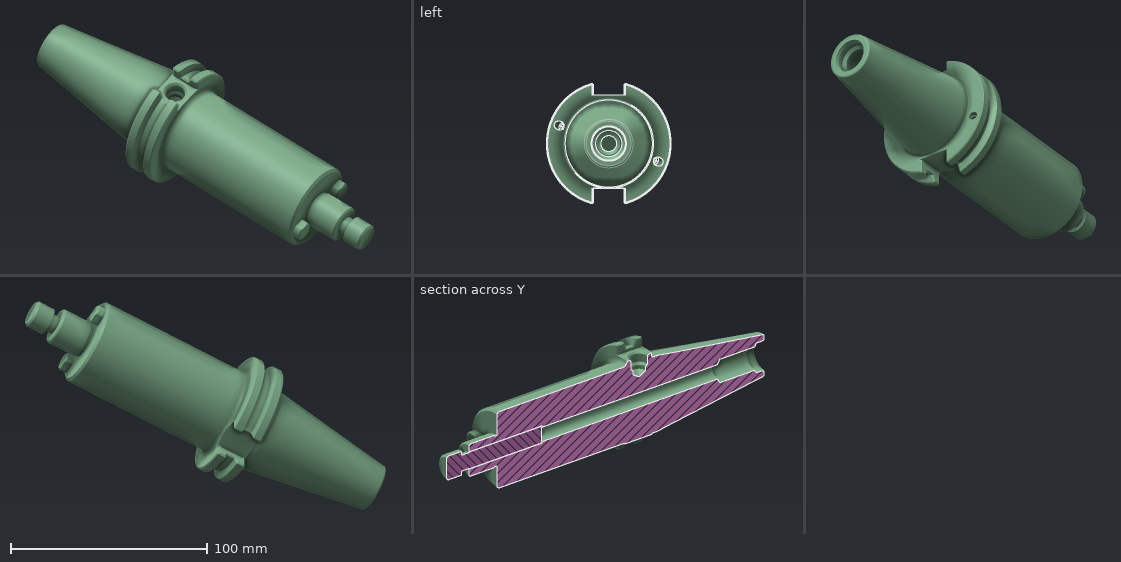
import cadquery as cq
import math

total_length = 201.8
taper_end_x = 68.5
flange_front_x = 71.5
flange_width = 16.0
body_end_x = 170.0
spigot_end_x = 187.7
screw_head_x = 192.1
flange_back_x = flange_front_x + flange_width

taper_ratio = 7 / 24
neck_diameter = 44.5
taper_small_diameter = neck_diameter - taper_end_x * taper_ratio
body_diameter = 44.6
taper_end_fillet = 1.0
body_end_chamfer = 1.2
neck_fillet = 0.6
shoulder_fillet = 2.6

flange_diameter = 63.5
flange_chamfer = 0.6
groove_floor_diameter = 56.7
groove_floor_width = 4.0
groove_mouth_width = 7.0
groove_centre_x = flange_front_x + flange_width / 2

spigot_diameter = 19.0
spigot_chamfer = 0.8
relief_diameter = 18.0
relief_width = 1.2

slot_width = 15.5
slot_chamfer = 0.8
level_tolerance = 0.02
top_slot_floor = 24.8
bottom_slot_floor = 22.8

pocket_mouth_diameter = 12.1
pocket_diameter = 10.0
pocket_depth = 5.7
pocket_drill_diameter = 7.7
pocket_drill_depth = 9.0
drill_point_angle = 118.0

bore_mouth_diameter = 18.0
bore_diameter = 17.0
bore_mouth_depth = 1.8
bore_depth = 5.0
thread_diameter = 13.3
thread_end_x = 28.3
coolant_diameter = 8.0

screw_diameter = 9.5
screw_head_diameter = 14.1
screw_head_chamfer = 1.0
screw_tip_x = 141.3

stud_diameter = 9.5
stud_flats = 8.0
stud_height = 4.2
stud_chamfer = 0.6
stud_offset = 15.7

plug_diameter = 4.5
plug_circle_radius = 26.8
plug_turns = (20.0, 200.0)
plug_tilt = 30.0
plug_hole_depth = 8.0
plug_recess = 4.0
plug_socket_size = 2.5
plug_socket_depth = 2.0


def cone_depth(diameter, end_diameter=0.0):
    """Axial length of a drill point between two diameters."""
    return (diameter - end_diameter) / 2 / math.tan(math.radians(drill_point_angle / 2))


def revolve_about_x(points):
    """Solid of revolution about the X axis from (x, radius) points that start and end on it."""
    return cq.Workplane("XY").polyline(points).close().revolve(360, (0, 0, 0), (1, 0, 0))


def make_shank():
    """Taper, neck and cylindrical body, with fillets where the flange sits between them."""
    neck_radius = neck_diameter / 2
    body_radius = body_diameter / 2
    shank = (
        cq.Workplane("XY")
        .moveTo(0, 0)
        .lineTo(0, taper_small_diameter / 2)
        .lineTo(taper_end_x, neck_radius)
        .lineTo(flange_front_x - neck_fillet, neck_radius)
        .radiusArc((flange_front_x, neck_radius + neck_fillet), -neck_fillet)
        .lineTo(flange_back_x, body_radius + shoulder_fillet)
        .radiusArc((flange_back_x + shoulder_fillet, body_radius), -shoulder_fillet)
        .lineTo(body_end_x - body_end_chamfer, body_radius)
        .lineTo(body_end_x, body_radius - body_end_chamfer)
        .lineTo(body_end_x, 0)
        .close()
        .revolve(360, (0, 0, 0), (1, 0, 0))
    )
    return shank.faces("<X").edges().fillet(taper_end_fillet)


def make_flange():
    rim = flange_diameter / 2
    groove_floor = groove_floor_diameter / 2
    return revolve_about_x(
        [
            (flange_front_x, 0),
            (flange_front_x, rim - flange_chamfer),
            (flange_front_x + flange_chamfer, rim),
            (groove_centre_x - groove_mouth_width / 2, rim),
            (groove_centre_x - groove_floor_width / 2, groove_floor),
            (groove_centre_x + groove_floor_width / 2, groove_floor),
            (groove_centre_x + groove_mouth_width / 2, rim),
            (flange_back_x - flange_chamfer, rim),
            (flange_back_x, rim - flange_chamfer),
            (flange_back_x, 0),
        ]
    )


def cut_slots(shape):
    """Cut the top and the bottom driving slot, with length to clear the fillets beside the flange."""
    length = flange_width + 2 * shoulder_fillet
    for floor, turn in ((top_slot_floor, 0), (bottom_slot_floor, 180)):
        slot = (
            cq.Workplane("XY", origin=(groove_centre_x, 0, floor))
            .rect(length, slot_width)
            .extrude(flange_diameter / 2 - floor)
        )
        shape = shape.cut(slot.rotate((0, 0, 0), (1, 0, 0), turn))
    return shape


def bevel_slot_walls(flange):
    """Chamfer the wall edges of both slots, except where the walls meet the slot floors."""
    wall_edges = []
    for wall in flange.faces("|Y").vals():
        for edge in wall.Edges():
            level = abs(edge.Center().z)
            floor_gap = min(abs(level - top_slot_floor), abs(level - bottom_slot_floor))
            if floor_gap > level_tolerance:
                wall_edges.append(edge)
    return flange.newObject(wall_edges).chamfer(slot_chamfer)


def make_spigot():
    radius = spigot_diameter / 2
    relief_radius = relief_diameter / 2
    relief_end_x = body_end_x + relief_width
    return revolve_about_x(
        [
            (body_end_x, 0),
            (body_end_x, relief_radius),
            (relief_end_x, relief_radius),
            (relief_end_x + radius - relief_radius, radius),
            (spigot_end_x - spigot_chamfer, radius),
            (spigot_end_x, radius - spigot_chamfer),
            (spigot_end_x, 0),
        ]
    )


def make_bore():
    """Threaded bore, coolant passage and clamping screw hole along the axis."""
    step = cone_depth(bore_diameter, thread_diameter)
    cone_end_x = thread_end_x + cone_depth(thread_diameter, coolant_diameter)
    return revolve_about_x(
        [
            (0, 0),
            (0, bore_mouth_diameter / 2),
            (bore_mouth_depth, bore_diameter / 2),
            (bore_depth, bore_diameter / 2),
            (bore_depth + step, thread_diameter / 2),
            (thread_end_x, thread_diameter / 2),
            (cone_end_x, coolant_diameter / 2),
            (screw_tip_x, coolant_diameter / 2),
            (screw_tip_x, screw_diameter / 2),
            (spigot_end_x, screw_diameter / 2),
            (spigot_end_x, 0),
        ]
    )


def make_pocket():
    """Chamfered and stepped pocket with a drill point, sunk into the top slot floor."""
    mouth_chamfer = (pocket_mouth_diameter - pocket_diameter) / 2
    shoulder = (pocket_diameter - pocket_drill_diameter) / 2
    points = [
        (0, 0),
        (pocket_mouth_diameter / 2, 0),
        (pocket_diameter / 2, -mouth_chamfer),
        (pocket_diameter / 2, -pocket_depth),
        (pocket_drill_diameter / 2, -pocket_depth - shoulder),
        (pocket_drill_diameter / 2, -pocket_drill_depth),
        (0, -pocket_drill_depth - cone_depth(pocket_drill_diameter)),
    ]
    pocket = cq.Workplane("XZ").polyline(points).close().revolve(360, (0, 0, 0), (0, 1, 0))
    return pocket.translate((groove_centre_x, 0, top_slot_floor))


def place_in_flange(shape, turn):
    """Tilt a shape built along +X toward the axis and set it on the front of the flange."""
    tilted = shape.rotate((0, 0, 0), (0, 0, 1), -plug_tilt)
    return tilted.translate((flange_front_x, plug_circle_radius, 0)).rotate((0, 0, 0), (1, 0, 0), turn)


def make_plug_hole(turn):
    hole = (
        cq.Workplane("YZ", origin=(-plug_diameter, 0, 0))
        .circle(plug_diameter / 2)
        .extrude(plug_diameter + plug_hole_depth)
    )
    return place_in_flange(hole, turn)


def make_plug(turn):
    """Set screw that fills the bottom of a plug hole, with a hexagon socket in its outer end."""
    hexagon_half_angle = math.pi / 6
    socket_corners = plug_socket_size / math.cos(hexagon_half_angle)
    plug = (
        cq.Workplane("YZ", origin=(plug_recess, 0, 0))
        .circle(plug_diameter / 2)
        .extrude(plug_hole_depth - plug_recess)
    )
    socket = (
        cq.Workplane("YZ", origin=(plug_recess, 0, 0))
        .polygon(6, socket_corners)
        .extrude(plug_socket_depth)
    )
    return place_in_flange(plug.cut(socket), turn)


def make_holder():
    flange = bevel_slot_walls(cut_slots(make_flange()))
    holder = cut_slots(make_shank()).union(flange).union(make_spigot())
    holder = holder.cut(make_bore()).cut(make_pocket())
    for turn in plug_turns:
        holder = holder.cut(make_plug_hole(turn))
    return holder


def make_clamping_screw():
    shank_radius = screw_diameter / 2
    head_radius = screw_head_diameter / 2
    return revolve_about_x(
        [
            (screw_tip_x, 0),
            (screw_tip_x, shank_radius),
            (screw_head_x, shank_radius),
            (screw_head_x, head_radius),
            (total_length - screw_head_chamfer, head_radius),
            (total_length, head_radius - screw_head_chamfer),
            (total_length, 0),
        ]
    )


def make_stud(side):
    """Round stud with a flat above and a flat below, on one side of the spigot."""
    round_stud = cq.Workplane("YZ").circle(stud_diameter / 2).extrude(stud_height)
    round_stud = round_stud.faces(">X").chamfer(stud_chamfer)
    flats = cq.Workplane("YZ").rect(2 * stud_diameter, stud_flats).extrude(stud_height)
    return round_stud.intersect(flats).translate((body_end_x, side * stud_offset, 0))


holder = make_holder()
clamping_screw = make_clamping_screw()
studs = [make_stud(side).val() for side in (-1, 1)]
plugs = [make_plug(turn).val() for turn in plug_turns]

result = cq.Compound.makeCompound([holder.val(), clamping_screw.val(), *studs, *plugs])